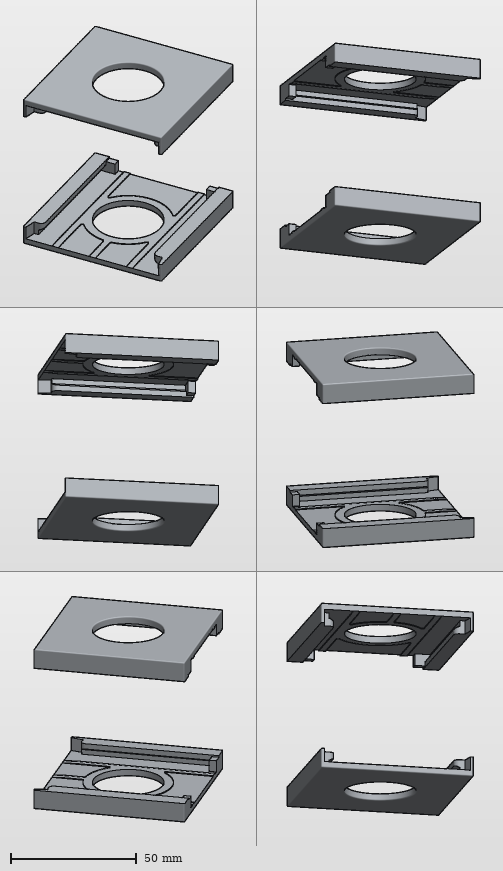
import cadquery as cq

side = 62.0
overall_height = 67.8
cover_height = 8.0
plate_thickness = 2.6
edge_radius = 0.5
hole_diameter = 28.5

track_height = 0.35
ring_radius = 18.05
track_width = 2.85
pocket_fillet = 0.7
pocket_overrun = 3.4

rail_width = 4.3
lip_reach = 2.2
lip_root_z = 4.6
lip_tip_z = 5.75
lip_lead_radius = 2.05

entry_length = 5.1
entry_wall_front = 1.2
entry_wall_back = 2.3

stop_length = 3.0
stop_reach = 10.5
stop_height = 7.3

half = side / 2
entry_y = -half + entry_length
track_top = plate_thickness + track_height
track_inner_x = ring_radius - track_width
lip_tip_x = half - rail_width - lip_reach


def box_between(x_range, y_range, z_range):
    """Axis-aligned box from its limits along X, Y and Z."""
    return (
        cq.Workplane("XY", origin=(x_range[0], y_range[0], z_range[0]))
        .box(
            x_range[1] - x_range[0],
            y_range[1] - y_range[0],
            z_range[1] - z_range[0],
            centered=False,
        )
    )


def make_pocket(x_range, y_range):
    """Low area between the tracks, bounded on one side by the ring around the hole."""
    ring = cq.Workplane("XY").circle(ring_radius).extrude(track_top)
    pocket = box_between(x_range, y_range, (plate_thickness, track_top)).cut(ring)
    return pocket.edges("|Z").fillet(pocket_fillet)


def make_tracks():
    """Two side tracks, the ring and a short centre track, ramped down at the entry."""
    tracks = box_between((-ring_radius, ring_radius), (-half, half), (plate_thickness, track_top))
    tracks = tracks.cut(make_pocket((-track_inner_x, track_inner_x), (0, half + pocket_overrun)))
    centre_x = track_width / 2
    for x_range in ((-track_inner_x, -centre_x), (centre_x, track_inner_x)):
        tracks = tracks.cut(make_pocket(x_range, (-half - pocket_overrun, 0)))
    ramp = (
        cq.Workplane("YZ", origin=(-half, 0, 0))
        .polyline([(-half, plate_thickness), (entry_y, track_top), (-half, track_top)])
        .close()
        .extrude(side)
    )
    return tracks.cut(ramp)


def make_rail():
    """Rail on the +X side: tapered entry wall, lipped rail and stop block."""
    rail_x = half - rail_width
    profile = (
        cq.Workplane("XZ", origin=(0, half, 0))
        .moveTo(half, 0)
        .lineTo(rail_x, 0)
        .lineTo(rail_x, lip_root_z)
        .lineTo(lip_tip_x, lip_tip_z)
        .lineTo(lip_tip_x, cover_height)
        .lineTo(half, cover_height)
        .close()
    )
    rail = profile.extrude(side - entry_length)
    tip_edge = cq.selectors.NearestToPointSelector((lip_tip_x, entry_y, (lip_tip_z + cover_height) / 2))
    rail = rail.edges("|Z").edges(tip_edge).fillet(lip_lead_radius)
    entry_wall = (
        cq.Workplane("XY")
        .polyline([
            (half, -half),
            (half - entry_wall_front, -half),
            (half - entry_wall_back, entry_y),
            (half, entry_y),
        ])
        .close()
        .extrude(cover_height)
    )
    stop = box_between((half - stop_reach, half), (half - stop_length, half), (0, stop_height))
    return rail.union(entry_wall).union(stop)


def make_cover():
    """Cover lying on its outer face, open side up."""
    plate = cq.Workplane("XY").rect(side, side).extrude(plate_thickness)
    rail = make_rail()
    cover = plate.union(make_tracks()).union(rail).union(rail.mirror("YZ"))
    envelope = (
        cq.Workplane("XY").rect(side, side).extrude(cover_height)
        .edges("|Z or <Z").fillet(edge_radius)
    )
    hole = cq.Workplane("XY").circle(hole_diameter / 2).extrude(cover_height)
    return cover.intersect(envelope).cut(hole).faces("<Z").edges("%CIRCLE").fillet(edge_radius)


lower_cover = make_cover()
upper_cover = lower_cover.mirror("XY").translate((0, 0, overall_height))

result = cq.Compound.makeCompound([lower_cover.val(), upper_cover.val()])